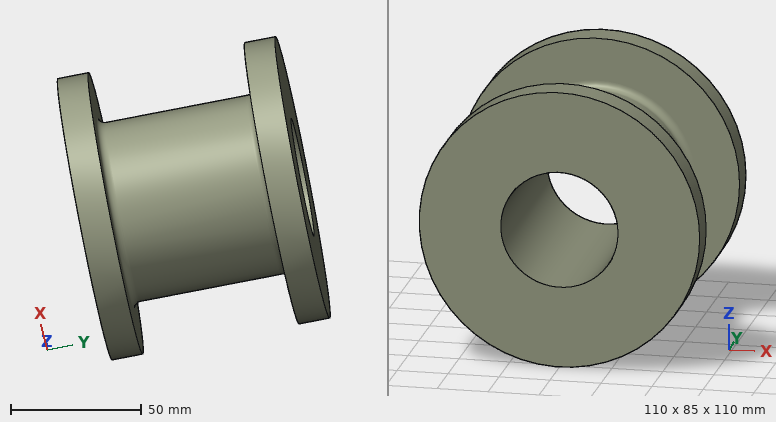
import cadquery as cq

flange_diameter = 110.0
barrel_diameter = 70.0
bore_diameter = 46.0
spool_length = 85.0
flange_thickness = 12.0
fillet_radius = 3.0

barrel_length = spool_length - 2 * flange_thickness


def disc(diameter, length):
    """Cylinder along Y, centred on the origin."""
    return cq.Workplane("XZ").circle(diameter / 2).extrude(length).translate((0, length / 2, 0))


def flange(side):
    """End flange at the -Y (side = -1) or +Y (side = 1) end."""
    centre_y = side * (spool_length - flange_thickness) / 2
    return disc(flange_diameter, flange_thickness).translate((0, centre_y, 0))


spool = disc(barrel_diameter, barrel_length)
for side in (-1, 1):
    spool = spool.union(flange(side))

root_edges = cq.selectors.RadiusNthSelector(0)
spool = spool.edges(root_edges).fillet(fillet_radius)

result = spool.cut(disc(bore_diameter, spool_length))